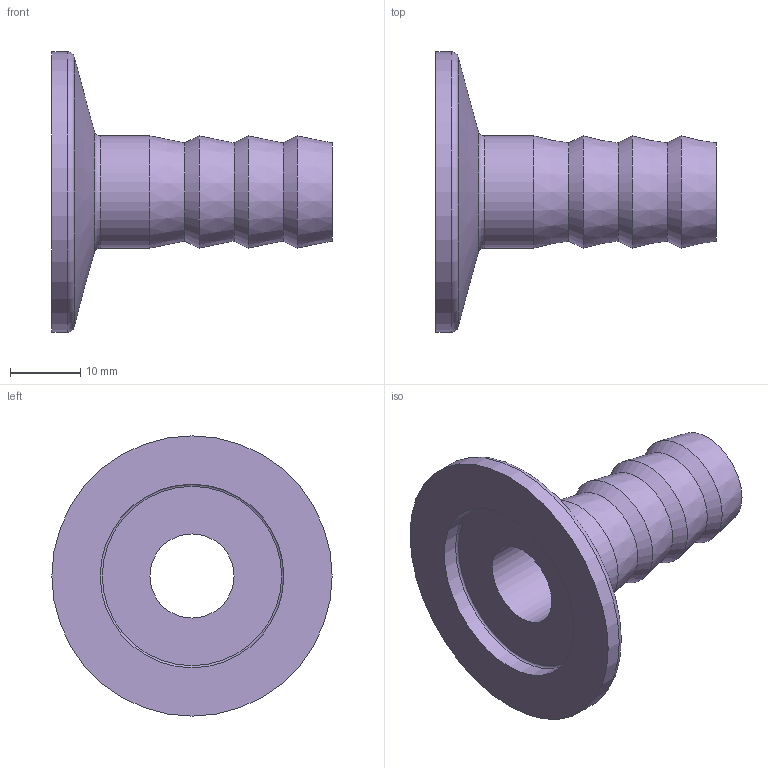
import cadquery as cq
import math


total_length = 40.0
bore_radius = 12.0 / 2

flange_radius = 40.0 / 2
rim_corner_x = 3.0
cone_angle = math.radians(15.0)
flange_blend_radius = 1.0

recess_radius = 26.2 / 2
recess_depth = 2.6
recess_fillet = 0.3

tail_radius = 16.0 / 2
barb_root_radius = 14.0 / 2
barb_count = 4
barb_pitch = 7.0
barb_taper_length = 5.0
first_barb_x = total_length - (barb_count - 1) * barb_pitch - barb_taper_length


def add_blend_arc(profile, tangent_x, center_radius, start_angle, end_angle):
    """Add an arc centred at (tangent_x, center_radius); angles are measured from +X."""
    def arc_point(angle):
        return (
            tangent_x + flange_blend_radius * math.cos(angle),
            center_radius + flange_blend_radius * math.sin(angle),
        )

    middle_angle = (start_angle + end_angle) / 2
    return profile.threePointArc(arc_point(middle_angle), arc_point(end_angle))


def make_outer_body():
    """Revolve the solid outside shape: flange, cone, neck and barbs."""
    blend_turn = math.pi / 2 - cone_angle
    tangent_length = flange_blend_radius * math.tan(blend_turn / 2)
    rim_tangent_x = rim_corner_x - tangent_length
    cone_length = (flange_radius - tail_radius) * math.tan(cone_angle)
    neck_tangent_x = rim_corner_x + cone_length + tangent_length

    rim_center_radius = flange_radius - flange_blend_radius
    neck_center_radius = tail_radius + flange_blend_radius
    neck_start = (
        neck_tangent_x - flange_blend_radius * math.cos(cone_angle),
        neck_center_radius - flange_blend_radius * math.sin(cone_angle),
    )

    profile = cq.Workplane("XZ").moveTo(0, 0).lineTo(0, flange_radius)
    profile = profile.lineTo(rim_tangent_x, flange_radius)
    profile = add_blend_arc(
        profile, rim_tangent_x, rim_center_radius, math.pi / 2, cone_angle
    )
    profile = profile.lineTo(*neck_start)
    profile = add_blend_arc(
        profile, neck_tangent_x, neck_center_radius, math.pi + cone_angle, 3 * math.pi / 2
    )

    for barb in range(barb_count):
        crest_x = first_barb_x + barb * barb_pitch
        profile = profile.lineTo(crest_x, tail_radius)
        profile = profile.lineTo(crest_x + barb_taper_length, barb_root_radius)

    profile = profile.lineTo(total_length, 0).close()
    return profile.revolve(360, (0, 0, 0), (1, 0, 0))


def make_bore():
    """Through bore along the whole axis."""
    return cq.Workplane("YZ").circle(bore_radius).extrude(total_length)


def make_recess():
    """Round recess in the flange face with a small fillet at its floor."""
    recess = cq.Workplane("YZ").circle(recess_radius).extrude(recess_depth)
    return recess.faces(">X").edges().fillet(recess_fillet)


result = make_outer_body().cut(make_bore()).cut(make_recess())